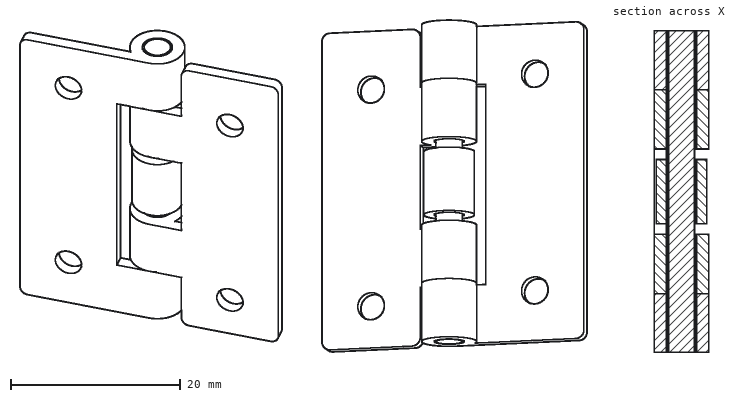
import cadquery as cq

HEIGHT = 38.0
LEAF_REACH = 16.0
THICKNESS = 1.5
CORNER_RADIUS = 1.0

KNUCKLE_DIAMETER = 6.5
KNUCKLE_RADIUS = KNUCKLE_DIAMETER / 2
KNUCKLE_LENGTH = 7.0
BORE_RADIUS = KNUCKLE_RADIUS - THICKNESS
NOTCH_REACH = 4.0

PIN_RADIUS = 1.55
SLEEVE_RADIUS = 3.0
SLEEVE_LENGTH = 7.6

HOLE_DIAMETER = 3.23
HOLE_X = 10.0
HOLE_PITCH = 26.0
RIGHT_HOLE_DROP = 1.0

LEAF_BACK = -KNUCKLE_RADIUS + THICKNESS
OUTER_KNUCKLE_Z = (HEIGHT - KNUCKLE_LENGTH) / 2
INNER_KNUCKLE_Z = OUTER_KNUCKLE_Z - KNUCKLE_LENGTH


def cylinder(radius, length, z_center=0.0):
    """Cylinder on the pin axis, centred at the given height."""
    return cq.Workplane("XY", origin=(0, 0, z_center - length / 2)).circle(radius).extrude(length)


def strip(x_start, x_end, length, z_center=0.0):
    """Flat piece of leaf between two X positions, centred at the given height."""
    return (
        cq.Workplane("XZ", origin=(0, LEAF_BACK, 0))
        .center((x_start + x_end) / 2, z_center)
        .rect(abs(x_end - x_start), length)
        .extrude(THICKNESS)
    )


def make_leaf(side, knuckle_z, rounded_edges, hole_z):
    """Leaf on one side (-1 left, +1 right) with knuckles at +/- knuckle_z."""
    leaf = strip(side * NOTCH_REACH, side * LEAF_REACH, HEIGHT)
    leaf = leaf.edges(rounded_edges).fillet(CORNER_RADIUS)

    for z in (-knuckle_z, knuckle_z):
        leaf = leaf.union(strip(0, side * NOTCH_REACH, KNUCKLE_LENGTH, z))
        leaf = leaf.union(cylinder(KNUCKLE_RADIUS, KNUCKLE_LENGTH, z))
    leaf = leaf.cut(cylinder(BORE_RADIUS, HEIGHT))

    holes = (
        cq.Workplane("XZ", origin=(0, LEAF_BACK, 0))
        .pushPoints([(side * HOLE_X, hole_z + offset) for offset in (-HOLE_PITCH / 2, HOLE_PITCH / 2)])
        .circle(HOLE_DIAMETER / 2)
        .extrude(THICKNESS)
    )
    return leaf.cut(holes)


def make_sleeve():
    """Loose spacer tube around the middle of the pin."""
    return cylinder(SLEEVE_RADIUS, SLEEVE_LENGTH).cut(cylinder(BORE_RADIUS, SLEEVE_LENGTH))


left_leaf = make_leaf(-1, OUTER_KNUCKLE_Z, "|Y and <X", 0.0)
right_leaf = make_leaf(1, INNER_KNUCKLE_Z, "|Y", -RIGHT_HOLE_DROP)
pin = cylinder(PIN_RADIUS, HEIGHT)
sleeve = make_sleeve()

result = cq.Compound.makeCompound([left_leaf.val(), right_leaf.val(), pin.val(), sleeve.val()])